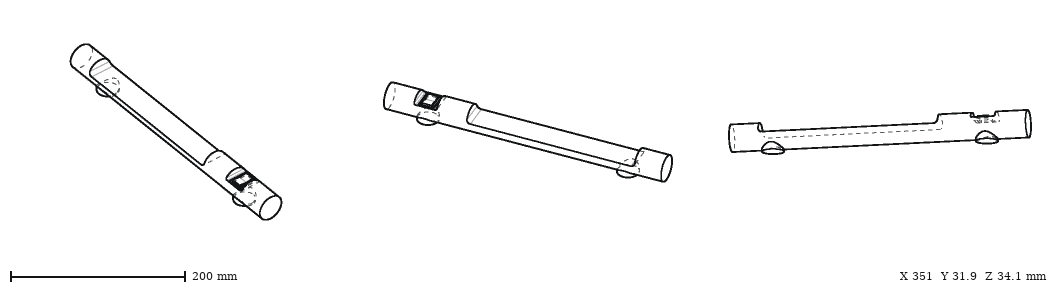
import cadquery as cq

total_length = 351.0
bar_radius = 15.97
dome_height = 1.8
shoulder_x = total_length / 2 - dome_height

flat_start_x = -140.0
flat_end_x = 70.2
flat_z = 2.5
flat_fillet = 4.5

switch_x = 123.0
notch_length = 28.5
notch_z = 7.7
notch_fillet = 2.0

recess_length = 18.5
recess_width = 24.2
recess_depth = 0.7
rocker_length = 12.5
rocker_width = 20.0
rocker_rise = 2.0
rocker_dip = 1.0

foot_x = 125.3
foot_diameter = 26.0
foot_bottom_z = -18.08


def end_sphere_radius():
    """Radius of the sphere whose cap spans the bar end."""
    return (bar_radius**2 + dome_height**2) / (2 * dome_height)


def make_bar():
    """Bar with a shallow spherical dome on each end."""
    sphere_radius = end_sphere_radius()
    sphere_x = total_length / 2 - sphere_radius
    dome_mid_x = sphere_x + (sphere_radius**2 - (bar_radius / 2) ** 2) ** 0.5
    profile = (
        cq.Workplane("XZ")
        .moveTo(-total_length / 2, 0)
        .threePointArc((-dome_mid_x, bar_radius / 2), (-shoulder_x, bar_radius))
        .lineTo(shoulder_x, bar_radius)
        .threePointArc((dome_mid_x, bar_radius / 2), (total_length / 2, 0))
        .close()
    )
    return profile.revolve(360, (0, 0, 0), (1, 0, 0))


def make_notch(start_x, end_x, floor_z, fillet_radius):
    """Cutter across the top of the bar with rounded floor corners."""
    size = (end_x - start_x, 2 * bar_radius, bar_radius)
    block = cq.Workplane("XY").box(*size, centered=(False, True, False))
    return block.edges("|Y and <Z").fillet(fillet_radius).translate((start_x, 0, floor_z))


def make_foot(x):
    """Vertical round foot reaching from the bar axis to the base."""
    foot = cq.Workplane("XY", origin=(x, 0, foot_bottom_z))
    return foot.circle(foot_diameter / 2).extrude(-foot_bottom_z)


def make_rocker():
    """Rocker standing in the recess, its top dipping to a line across the middle."""
    half_width = rocker_width / 2
    base_z = notch_z - recess_depth
    top_z = notch_z + rocker_rise
    profile = (
        cq.Workplane("YZ", origin=(switch_x - rocker_length / 2, 0, 0))
        .moveTo(-half_width, base_z)
        .lineTo(half_width, base_z)
        .lineTo(half_width, top_z)
        .lineTo(0, top_z - rocker_dip)
        .lineTo(-half_width, top_z)
        .close()
    )
    return profile.extrude(rocker_length)


bar = make_bar()
for side in (-1, 1):
    bar = bar.union(make_foot(side * foot_x))

bar = bar.cut(make_notch(flat_start_x, flat_end_x, flat_z, flat_fillet))
notch_start_x = switch_x - notch_length / 2
bar = bar.cut(make_notch(notch_start_x, notch_start_x + notch_length, notch_z, notch_fillet))

recess = (
    cq.Workplane("XY", origin=(switch_x, 0, notch_z))
    .rect(recess_length, recess_width)
    .extrude(-recess_depth)
)
result = bar.cut(recess).union(make_rocker())